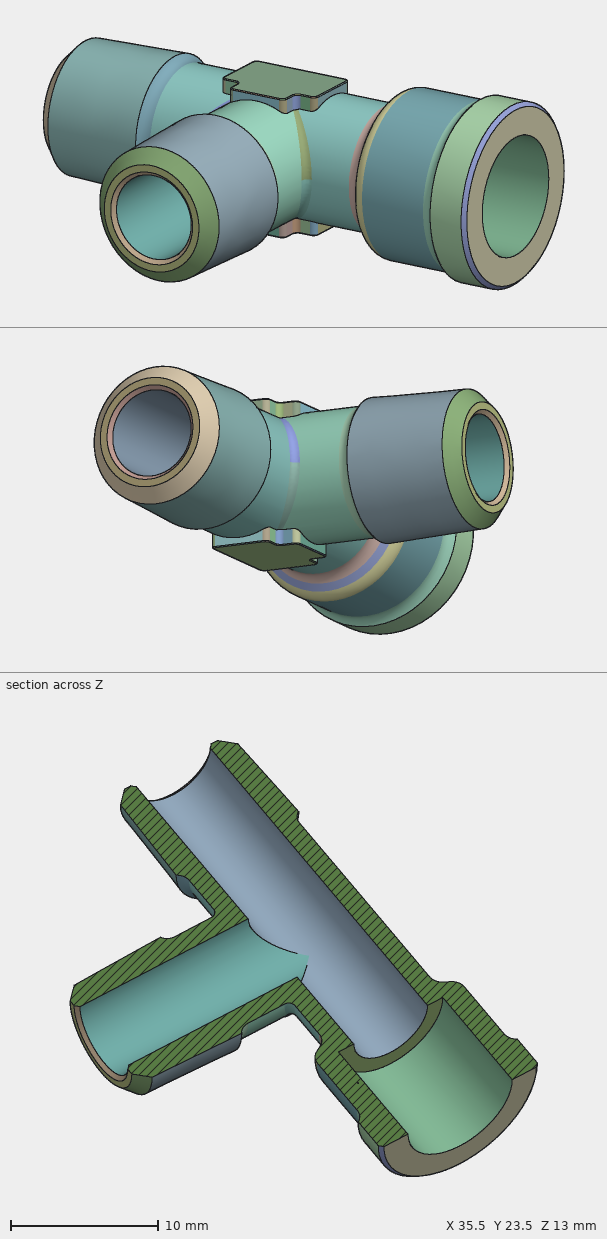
import cadquery as cq
import math

male_length = 17.0
female_length = 35.5 - male_length
bore_radius = 6.0 / 2
neck_radius = 9.0 / 2

male_root_radius = 5.0
male_nose_radius = 4.8
male_shoulder = 8.85
nose_chamfer = 1.0
bore_chamfer = 0.3

body_radius = 12.0 / 2
collar_radius = 13.0 / 2
socket_radius = 8.5 / 2
body_start = 9.98
collar_start = 15.73
collar_chamfer = 0.3
step_angle = math.radians(60)

blend_radius = 1.0

pad_half_width = 3.8
pad_back = 2.25
pad_front = 2.15
tab_half_width = 2.25
tab_front = 3.65
pad_height = 5.0
pad_corner = 0.4
pad_edge_chamfer = 0.07

crease_fillet = 0.5


def blend_to_shoulder(profile, shoulder, low_radius, high_radius):
    """Continue an (x, radius) profile up one concave arc, tangent to the low side, to a shoulder."""
    angle = math.acos(1 - (high_radius - low_radius) / blend_radius)
    arc_start = shoulder - blend_radius * math.sin(angle)
    arc_middle = (
        arc_start + blend_radius * math.sin(angle / 2),
        low_radius + blend_radius * (1 - math.cos(angle / 2)),
    )
    return profile.lineTo(arc_start, low_radius).threePointArc(arc_middle, (shoulder, high_radius))


def revolve_about_x(profile):
    return profile.close().revolve(360, (0, 0, 0), (1, 0, 0))


def male_end():
    """Solid male end running from the origin along +X."""
    profile = cq.Workplane("XY").lineTo(0, neck_radius)
    profile = blend_to_shoulder(profile, male_shoulder, neck_radius, male_root_radius)
    profile = (
        profile.lineTo(male_length - nose_chamfer, male_nose_radius)
        .lineTo(male_length, male_nose_radius - nose_chamfer)
        .lineTo(male_length, 0)
    )
    return revolve_about_x(profile)


def female_end():
    """Solid female end: neck, S-shaped step up to the body, and an end collar."""
    arc_run = blend_radius * math.sin(step_angle)
    arc_rise = blend_radius * (1 - math.cos(step_angle))
    mid_run = blend_radius * math.sin(step_angle / 2)
    mid_rise = blend_radius * (1 - math.cos(step_angle / 2))
    slope_rise = body_radius - neck_radius - 2 * arc_rise
    slope_run = slope_rise / math.tan(step_angle)
    step_start = body_start - 2 * arc_run - slope_run

    profile = (
        cq.Workplane("XY")
        .lineTo(0, neck_radius)
        .lineTo(step_start, neck_radius)
        .threePointArc(
            (step_start + mid_run, neck_radius + mid_rise),
            (step_start + arc_run, neck_radius + arc_rise),
        )
        .lineTo(body_start - arc_run, body_radius - arc_rise)
        .threePointArc(
            (body_start - mid_run, body_radius - mid_rise),
            (body_start, body_radius),
        )
    )
    profile = blend_to_shoulder(profile, collar_start, body_radius, collar_radius)
    profile = (
        profile.lineTo(female_length - collar_chamfer, collar_radius)
        .lineTo(female_length, collar_radius - collar_chamfer)
        .lineTo(female_length, 0)
    )
    return revolve_about_x(profile)


def male_bore():
    """Bore from the origin along +X, flared at the mouth of a male end."""
    return revolve_about_x(
        cq.Workplane("XY")
        .lineTo(0, bore_radius)
        .lineTo(male_length - bore_chamfer, bore_radius)
        .lineTo(male_length, bore_radius + bore_chamfer)
        .lineTo(male_length, 0)
    )


def female_bore():
    """Bore from the origin along +X, widening to a socket as deep as the body."""
    return revolve_about_x(
        cq.Workplane("XY")
        .lineTo(0, bore_radius)
        .lineTo(body_start, bore_radius)
        .lineTo(body_start, socket_radius)
        .lineTo(female_length, socket_radius)
        .lineTo(female_length, 0)
    )


def junction_pads():
    """T-shaped block whose two ends stand out as pads above and below the junction."""
    return (
        cq.Workplane("XY")
        .moveTo(-pad_half_width, pad_back)
        .lineTo(pad_half_width, pad_back)
        .lineTo(pad_half_width, -pad_front)
        .lineTo(tab_half_width, -pad_front)
        .lineTo(tab_half_width, -tab_front)
        .lineTo(-tab_half_width, -tab_front)
        .lineTo(-tab_half_width, -pad_front)
        .lineTo(-pad_half_width, -pad_front)
        .close()
        .extrude(pad_height, both=True)
        .edges("|Z")
        .fillet(pad_corner)
        .faces("|Z")
        .chamfer(pad_edge_chamfer)
    )


def crease_edges(body):
    """Edges where the branch meets the run, on the planes y = -|x|."""
    tolerance = 0.0005

    def on_crease(edge):
        points = [edge.startPoint(), edge.positionAt(0.5), edge.endPoint()]
        return all(p.y < 0 and abs(p.y + abs(p.x)) < tolerance for p in points)

    return [edge for edge in body.edges().vals() if on_crease(edge)]


def turn_from_x(shape, angle):
    return shape.rotate((0, 0, 0), (0, 0, 1), angle)


outside = female_end()
cavity = female_bore()
for direction in (180, -90):
    outside = outside.union(turn_from_x(male_end(), direction))
    cavity = cavity.union(turn_from_x(male_bore(), direction))

outside = outside.union(junction_pads())
outside = outside.newObject(crease_edges(outside)).fillet(crease_fillet)
result = outside.cut(cavity)